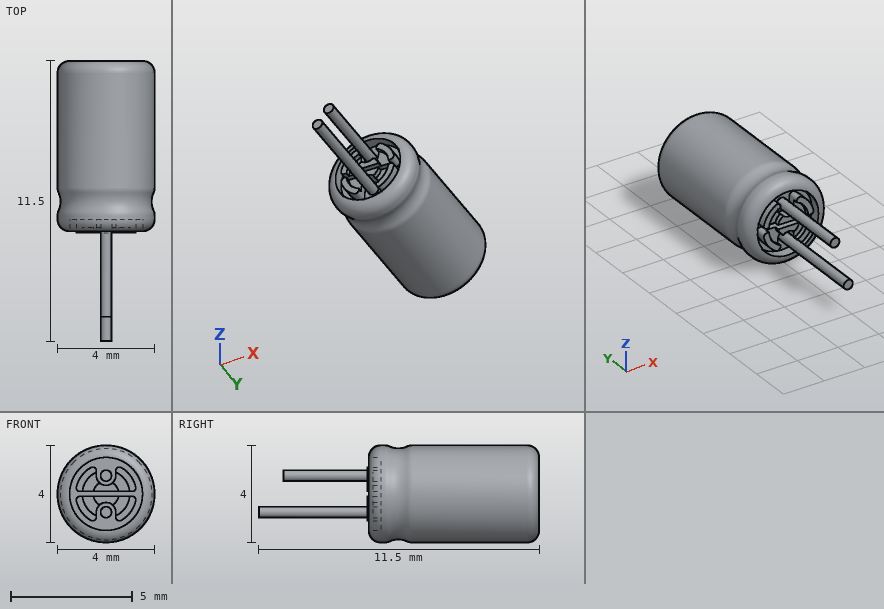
import cadquery as cq
import math


can_radius = 2.0
can_length = 7.0
end_round = 0.5

groove_center = 1.22
groove_depth = 0.125
groove_half_width = 0.57
blend_radius = 0.5

mouth_radius = can_radius - end_round
mouth_depth = 0.5
stand_off = 0.05
channel_depth = 0.22
channel_outer_radius = 0.975
channel_inner_radius = 0.525
pad_radius = 1.25
pad_gap = 0.2
pad_corner_radius = 0.15
lead_clearance_radius = 0.4

lead_radius = 0.225
lead_offset = 0.75
short_lead_end = 3.5
long_lead_end = 4.5


def front_plane(y):
    """Workplane at the given Y, drawn in X and Z, extruding toward -Y."""
    return cq.Workplane("XZ", origin=(0, y, 0))


def make_can():
    """Turned can with rounded ends and the crimp groove."""
    blend_angle = 2 * math.atan(groove_depth / groove_half_width)
    blend_width = blend_radius * math.sin(blend_angle)
    blend_mid_width = blend_radius * math.sin(blend_angle / 2)
    blend_mid_drop = blend_radius * (1 - math.cos(blend_angle / 2))

    front_edge = groove_center - groove_half_width
    back_edge = groove_center + groove_half_width
    neck_radius = can_radius - blend_radius * (1 - math.cos(blend_angle))
    floor_radius = can_radius - groove_depth

    round_mid_inset = end_round * (1 - math.sqrt(0.5))
    round_mid_radius = can_radius - round_mid_inset
    end_flat_radius = can_radius - end_round

    profile = (
        cq.Workplane("XY")
        .lineTo(end_flat_radius, 0)
        .threePointArc((round_mid_radius, round_mid_inset), (can_radius, end_round))
        .lineTo(can_radius, front_edge)
        .threePointArc(
            (can_radius - blend_mid_drop, front_edge + blend_mid_width),
            (neck_radius, front_edge + blend_width),
        )
        .threePointArc((floor_radius, groove_center), (neck_radius, back_edge - blend_width))
        .threePointArc(
            (can_radius - blend_mid_drop, back_edge - blend_mid_width),
            (can_radius, back_edge),
        )
        .lineTo(can_radius, can_length - end_round)
        .threePointArc(
            (round_mid_radius, can_length - round_mid_inset),
            (end_flat_radius, can_length),
        )
        .lineTo(0, can_length)
        .close()
    )
    return profile.revolve(360, (0, 0, 0), (0, 1, 0))


def cut_mouth(body):
    """Open the mouth down to the face of the seal."""
    return body.cut(front_plane(mouth_depth).circle(mouth_radius).extrude(mouth_depth))


def make_pad(side):
    """Half-round pad standing on the seal on one side of the gap, notched around its lead."""
    height = mouth_depth + stand_off
    seal_face = front_plane(mouth_depth)

    disc = seal_face.circle(pad_radius).extrude(height)
    half_center = side * (pad_gap + pad_radius) / 2
    half = seal_face.center(0, half_center).rect(2 * pad_radius, pad_radius).extrude(height)

    notch_round = seal_face.center(0, side * lead_offset).circle(lead_clearance_radius).extrude(height)
    notch_slot = (
        seal_face.center(0, side * (lead_offset + pad_radius / 2))
        .rect(2 * lead_clearance_radius, pad_radius)
        .extrude(height)
    )
    pad = disc.intersect(half).cut(notch_round).cut(notch_slot)
    pad = round_pad_corners(pad, side)

    channel = (
        front_plane(channel_depth - stand_off)
        .circle(channel_outer_radius)
        .circle(channel_inner_radius)
        .extrude(channel_depth)
    )
    return pad.cut(channel)


def round_pad_corners(pad, side):
    """Round the pad where its rim meets the lead notch and where it meets the gap."""
    half_gap = pad_gap / 2
    notch_corner = (lead_clearance_radius, math.sqrt(pad_radius**2 - lead_clearance_radius**2))
    gap_corner = (math.sqrt(pad_radius**2 - half_gap**2), half_gap)
    corner_edges = []
    for x, z in (notch_corner, gap_corner):
        for mirror in (-1, 1):
            nearest = cq.NearestToPointSelector((mirror * x, 0, side * z))
            corner_edges.append(pad.edges("|Y").edges(nearest).val())
    return pad.newObject(corner_edges).fillet(pad_corner_radius)


def make_lead(side, end):
    """Round lead leaving the seal and ending at the given distance below the mouth."""
    return (
        front_plane(mouth_depth)
        .center(0, side * lead_offset)
        .circle(lead_radius)
        .extrude(mouth_depth + end)
    )


result = cut_mouth(make_can())
for side, lead_end in ((1, short_lead_end), (-1, long_lead_end)):
    result = result.union(make_pad(side)).union(make_lead(side, lead_end))